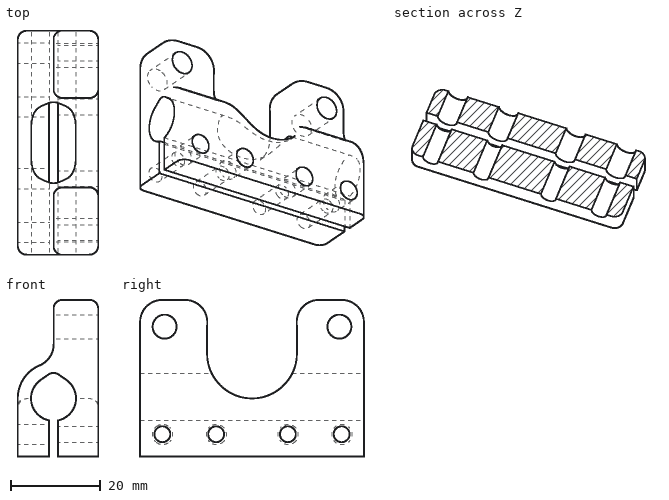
import cadquery as cq
import math

thickness = 18.0
width = 50.0
height = 35.0
edge_fillet = 2.0

bore_x = 8.0
bore_z = 13.0
bore_radius = 5.0
bore_tip_rise = 5.65
bore_tip_radius = 2.0
shoulder_radius = bore_x
lug_front_x = bore_x
blend_radius = 5.0
blend_rise = math.sqrt((shoulder_radius + blend_radius) ** 2 - blend_radius**2)
blend_z = bore_z + blend_rise

saddle_radius = 10.0
saddle_z = 23.0
lug_corner_radius = 5.0
lip_z = 29.05
lip_angle = 3.7

slit_width = 2.0
lug_hole_diameter = 5.3
lug_hole_y = 19.5
lug_hole_z = 29.0
screw_z = 5.0
screw_ys = (8.0, 20.0)
screw_clearance_diameter = 4.5
screw_thread_diameter = 3.5


def polar(center_across, center_up, radius, degrees):
    """Point on a circle, angle measured from the horizontal sketch axis."""
    angle = math.radians(degrees)
    return (center_across + radius * math.cos(angle), center_up + radius * math.sin(angle))


def side_profile():
    """Thickness profile with the convex shoulder and concave blend, run along Y."""
    blend_x = lug_front_x - blend_radius
    tangent_angle = math.degrees(math.atan2(blend_rise, -blend_radius))
    shoulder_end = polar(bore_x, bore_z, shoulder_radius, tangent_angle)
    shoulder_mid = polar(bore_x, bore_z, shoulder_radius, (180 + tangent_angle) / 2)
    blend_mid = polar(blend_x, blend_z, blend_radius, (tangent_angle - 180) / 2)
    return (
        cq.Workplane("XZ")
        .moveTo(0, 0)
        .lineTo(0, bore_z)
        .threePointArc(shoulder_mid, shoulder_end)
        .threePointArc(blend_mid, (lug_front_x, blend_z))
        .lineTo(lug_front_x, height)
        .lineTo(thickness, height)
        .lineTo(thickness, 0)
        .close()
        .extrude(width / 2, both=True)
    )


def lug_outline(sketch):
    """Add the +Y half of the outline, from the bottom outer corner round the lug into the saddle wall."""
    half_width = width / 2
    corner_z = height - lug_corner_radius
    outer_y = half_width - lug_corner_radius
    lean = math.radians(lip_angle)
    lip_rise = corner_z - lug_corner_radius * math.sin(lean) - lip_z
    lip_end_y = saddle_radius - lip_rise * math.tan(lean)
    inner_y = lip_end_y + lug_corner_radius * math.cos(lean)
    return (
        sketch.lineTo(half_width, 0)
        .lineTo(half_width, corner_z)
        .threePointArc(polar(outer_y, corner_z, lug_corner_radius, 45), (outer_y, height))
        .lineTo(inner_y, height)
        .threePointArc(
            polar(inner_y, corner_z, lug_corner_radius, 135),
            (lip_end_y, lip_z + lip_rise),
        )
        .lineTo(saddle_radius, lip_z)
        .lineTo(saddle_radius, saddle_z)
    )


def face_outline():
    """Width outline with rounded lugs and the saddle, run along X."""
    half = lug_outline(cq.Workplane("YZ").moveTo(0, 0))
    half = half.threePointArc(
        polar(0, saddle_z, saddle_radius, -45),
        (0, saddle_z - saddle_radius),
    )
    half = half.close().extrude(thickness)
    return half.union(half.mirror("XZ"))


def rounded_body():
    """Block with its front and back outlines rounded, leaving the bottom edges sharp."""
    body = side_profile().intersect(face_outline()).clean()
    body = body.faces(">X").edges("not <Z").fillet(edge_fillet)
    return body.faces("<X").edges("|Z").edges("<Y").fillet(edge_fillet)


def x_holes(diameter, y, z, start_x, end_x):
    """A mirrored pair of holes along X, one on each side of the middle plane."""
    return (
        cq.Workplane("YZ", origin=(start_x, 0, 0))
        .pushPoints([(y, z), (-y, z)])
        .circle(diameter / 2)
        .extrude(end_x - start_x)
    )


def bore():
    """Through bore along Y, drawn up to a rounded peak by flanks tangent to both circles."""
    tip_z = bore_z + bore_tip_rise - bore_tip_radius
    radius_drop = bore_radius - bore_tip_radius
    flank_angle = math.degrees(math.asin(radius_drop / (tip_z - bore_z)))
    right_start = polar(bore_x, bore_z, bore_radius, flank_angle)
    right_end = polar(bore_x, tip_z, bore_tip_radius, flank_angle)
    left_end = polar(bore_x, tip_z, bore_tip_radius, 180 - flank_angle)
    left_start = polar(bore_x, bore_z, bore_radius, 180 - flank_angle)
    return (
        cq.Workplane("XZ")
        .moveTo(*right_start)
        .lineTo(*right_end)
        .threePointArc((bore_x, bore_z + bore_tip_rise), left_end)
        .lineTo(*left_start)
        .threePointArc((bore_x, bore_z - bore_radius), right_start)
        .close()
        .extrude(width / 2, both=True)
    )


def slit():
    """Clamp slit from the bottom face up into the bore."""
    return cq.Workplane("XY").center(bore_x, 0).rect(slit_width, width).extrude(bore_z)


part = rounded_body().cut(bore()).cut(slit())
part = part.cut(x_holes(lug_hole_diameter, lug_hole_y, lug_hole_z, 0, thickness))
for screw_y in screw_ys:
    part = part.cut(x_holes(screw_clearance_diameter, screw_y, screw_z, 0, bore_x))
    part = part.cut(x_holes(screw_thread_diameter, screw_y, screw_z, bore_x, thickness))
result = part.solids()